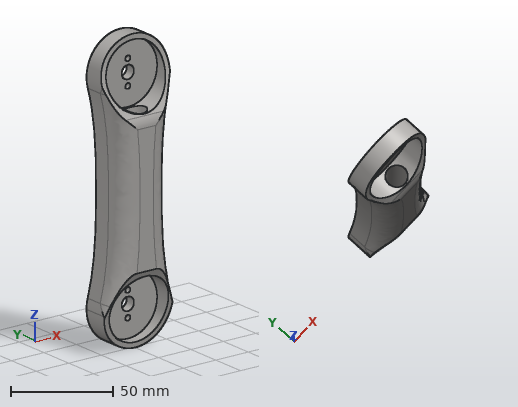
import cadquery as cq
import math

thickness = 21.0
hub_radius = 21.0
hub_spacing = 120.0
waist_half_width = 15.1
neck_angle = 15.5
edge_round = 11.0

pocket_radius = 18.0
floor_thickness = 6.0
shaft_hole_diameter = 7.5
screw_hole_diameter = 3.0
screw_offset = 7.2
bore_diameter = 11.0
bore_height = 12.7

top_tip_height = 10.0
top_hub_height = 12.2
top_shoulder_z = 38.7
top_shoulder_round = 12.0
bottom_tip_height = 12.0
bottom_hub_height = 14.8
bottom_shoulder_z = 39.0

hub_z = hub_spacing / 2
tip_z = hub_z + hub_radius
neck_x = hub_radius * math.cos(math.radians(neck_angle))
neck_z = hub_z - hub_radius * math.sin(math.radians(neck_angle))
neck_slope = math.tan(math.radians(neck_angle))
flank_x = hub_radius * math.cos(math.radians(neck_angle / 2))
flank_z = hub_z - hub_radius * math.sin(math.radians(neck_angle / 2))


def plan_at(height):
    """Workplane parallel to the back, normal toward -Y; its axes are X and Z."""
    return cq.Workplane("XZ", origin=(0, -height, 0))


def add_arm_side(outline, side, direction):
    """Continue an outline from neck to neck on one side (+1 or -1 in X), heading up or down in Z."""
    slope = side * neck_slope
    return outline.spline(
        [(side * waist_half_width, 0), (side * neck_x, direction * neck_z)],
        tangents=[(-slope, direction), (slope, direction)],
        includeCurrent=True,
    )


def add_hub_end(outline, direction):
    """Continue an outline around one hub, from neck to neck; direction +1 is the top hub."""
    quarter = direction * hub_radius
    return (
        outline
        .threePointArc((-direction * flank_x, direction * flank_z), (-quarter, direction * hub_z))
        .threePointArc((0, direction * tip_z), (quarter, direction * hub_z))
        .threePointArc((direction * flank_x, direction * flank_z), (direction * neck_x, direction * neck_z))
    )


def make_plan():
    """Square-edged bar with the full front outline."""
    outline = plan_at(0).moveTo(neck_x, neck_z)
    outline = add_arm_side(outline, 1, -1)
    outline = add_hub_end(outline, -1)
    outline = add_arm_side(outline, -1, 1)
    outline = add_hub_end(outline, 1)
    return outline.close().extrude(thickness)


def make_rounded_envelope():
    """Arm outline carried on straight past the necks, with its long front edges rounded."""
    end_x = neck_x + neck_slope * (tip_z - neck_z)
    outline = plan_at(0).moveTo(end_x, tip_z).lineTo(neck_x, neck_z)
    outline = add_arm_side(outline, 1, -1)
    outline = outline.lineTo(end_x, -tip_z).lineTo(-end_x, -tip_z).lineTo(-neck_x, -neck_z)
    outline = add_arm_side(outline, -1, 1)
    envelope = outline.lineTo(-end_x, tip_z).close().extrude(thickness)
    return envelope.faces("<Y").edges("not(|X)").fillet(edge_round)


def make_side_profile():
    """Prism across X whose concave ends thin the hubs, with the top shoulder rounded."""
    profile = (
        cq.Workplane("YZ", origin=(-hub_radius, 0, 0))
        .moveTo(0, tip_z)
        .lineTo(-top_tip_height, tip_z)
        .threePointArc((-top_hub_height, hub_z), (-thickness, top_shoulder_z))
        .lineTo(-thickness, -bottom_shoulder_z)
        .threePointArc((-bottom_hub_height, -hub_z), (-bottom_tip_height, -tip_z))
        .lineTo(0, -tip_z)
        .close()
        .extrude(2 * hub_radius)
    )
    top_shoulder = cq.selectors.NearestToPointSelector((0, -thickness, top_shoulder_z))
    return profile.edges(top_shoulder).fillet(top_shoulder_round)


def make_hub_openings(z):
    """Cutter for one hub: round pocket, shaft hole and two screw holes."""
    pocket = plan_at(floor_thickness).center(0, z).circle(pocket_radius).extrude(thickness)
    shaft_hole = plan_at(0).center(0, z).circle(shaft_hole_diameter / 2).extrude(thickness)
    screw_holes = (
        plan_at(0)
        .center(0, z)
        .pushPoints([(0, screw_offset), (0, -screw_offset)])
        .circle(screw_hole_diameter / 2)
        .extrude(thickness)
    )
    return pocket.union(shaft_hole).union(screw_holes)


def make_bore():
    """Lengthwise round passage joining the two pockets."""
    return (
        cq.Workplane("XY", origin=(0, -bore_height, -hub_z))
        .circle(bore_diameter / 2)
        .extrude(hub_spacing)
    )


body = make_plan().intersect(make_rounded_envelope()).intersect(make_side_profile())
for z in (hub_z, -hub_z):
    body = body.cut(make_hub_openings(z))
result = body.cut(make_bore())